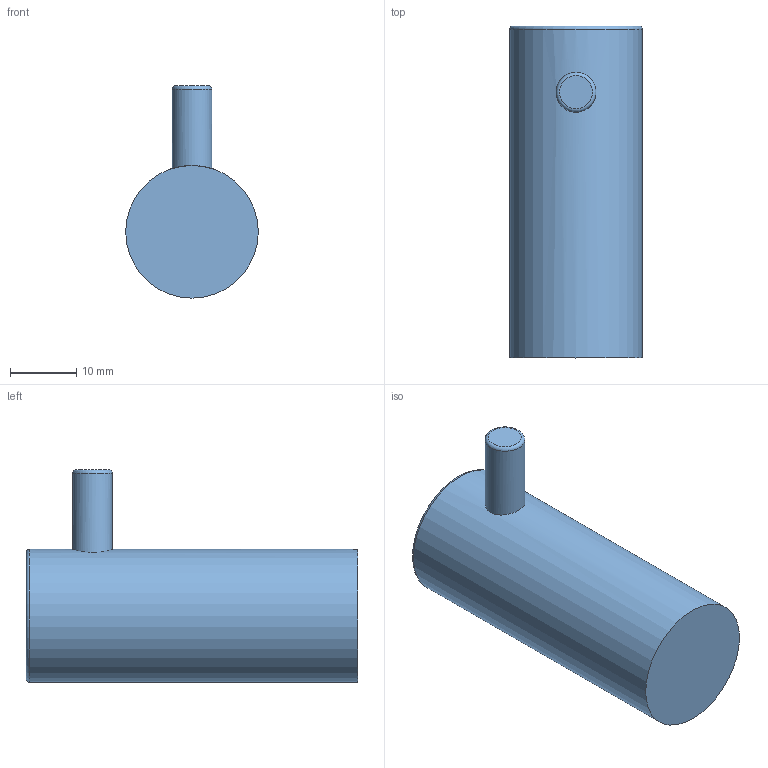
import cadquery as cq

body_diameter = 20.0
body_length = 50.0
body_end_fillet = 0.5

pin_diameter = 6.0
pin_protrusion = 12.0
pin_inset = 10.0
pin_end_fillet = 0.5

body_radius = body_diameter / 2
pin_top = body_radius + pin_protrusion
pin_y = body_length - pin_inset


def make_body():
    """Cylinder from the XZ plane toward +Y, with its far rim rounded."""
    cylinder = cq.Workplane("XZ").circle(body_radius).extrude(-body_length)
    return cylinder.faces(">Y").edges().fillet(body_end_fillet)


def make_pin():
    """Vertical pin from the body axis upward, with its top rim rounded."""
    cylinder = cq.Workplane("XY").center(0, pin_y).circle(pin_diameter / 2).extrude(pin_top)
    return cylinder.faces(">Z").edges().fillet(pin_end_fillet)


result = make_body().union(make_pin())